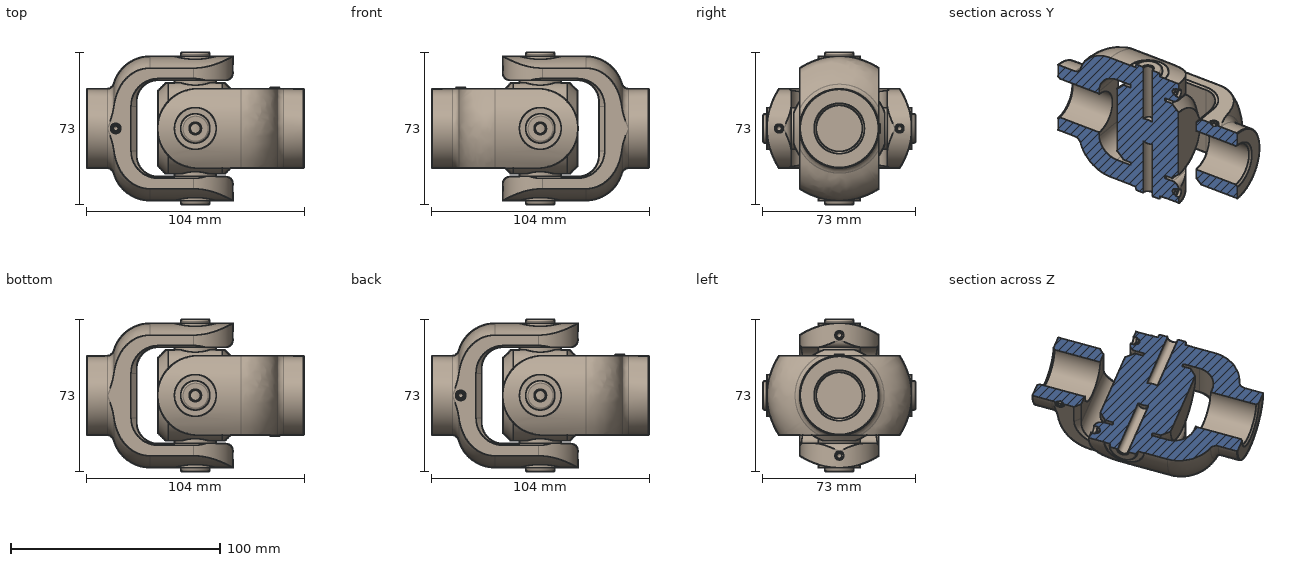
import cadquery as cq
import math


half_length = 52.0
width = 38.0
hub_radius = width / 2
arm_outer_radius = 34.5
shoulder_radius = 18.0
shoulder_x = 21.7
neck_x = 42.1
hub_chamfer = 0.3
bore_diameter = 22.0
bore_chamfer = 1.0
arm_end_offset = 0.9
arm_tip_x = hub_radius - arm_end_offset

opening_half_width = 23.0
opening_floor_x = 28.0
opening_corner_radius = 10.0
rim_half_width = 23.9
rim_floor_x = 30.8
rim_corner_radius = 13.3
arm_tip_round = 3.6

boss_diameter = 20.0
boss_face = 34.6
head_diameter = 14.0
head_face = 36.5
head_round = 1.0
pin_hole_diameter = 5.0
pin_hole_chamfer = 0.47

block_radius = 23.0
block_half_width = 21.7
block_half_length = 17.9
block_chamfer = 5.0

hub_screw_diameter = 4.9
hub_screw_height = 0.6
hub_screw_taper = 30.0
hub_screw_x = 38.1
arm_screw_diameter = 4.2
arm_screw_recess = 1.9
arm_screw_offset = 28.8
socket_corner_diameter = 2.9
socket_depth = 1.2
socket_tip_depth = 0.7


def cylinder(diameter, start, end, axis_plane):
    """Round bar along the normal of axis_plane, from start to end."""
    return cq.Workplane(axis_plane).workplane(offset=start).circle(diameter / 2).extrude(end - start)


def yoke_blank():
    """Revolved hub, neck and arm envelope with its hub towards -X, trimmed to the slab outline."""
    centre_radius = arm_outer_radius - shoulder_radius
    run = neck_x - shoulder_x
    drop = hub_radius - centre_radius
    neck_fillet = (run**2 + drop**2 - shoulder_radius**2) / (2 * (shoulder_radius - drop))
    neck_angle = math.atan2(drop + neck_fillet, run)

    def shoulder_point(angle):
        return (
            -shoulder_x - shoulder_radius * math.cos(angle),
            centre_radius + shoulder_radius * math.sin(angle),
        )

    fillet_mid_angle = (math.pi / 2 + neck_angle) / 2
    fillet_mid = (
        -neck_x + neck_fillet * math.cos(fillet_mid_angle),
        hub_radius + neck_fillet - neck_fillet * math.sin(fillet_mid_angle),
    )
    envelope = (
        cq.Workplane("XY")
        .moveTo(-half_length, 0)
        .lineTo(-half_length, hub_radius - hub_chamfer)
        .lineTo(-half_length + hub_chamfer, hub_radius)
        .lineTo(-neck_x, hub_radius)
        .threePointArc(fillet_mid, shoulder_point(neck_angle))
        .threePointArc(shoulder_point((neck_angle + math.pi / 2) / 2), shoulder_point(math.pi / 2))
        .lineTo(arm_tip_x, arm_outer_radius)
        .lineTo(arm_tip_x, 0)
        .close()
        .revolve(360, (0, 0, 0), (1, 0, 0))
    )
    outline = (
        cq.Workplane("XZ", origin=(0, arm_outer_radius, 0))
        .moveTo(-half_length, -hub_radius)
        .lineTo(-arm_end_offset, -hub_radius)
        .threePointArc((arm_tip_x, 0), (-arm_end_offset, hub_radius))
        .lineTo(-half_length, hub_radius)
        .close()
        .extrude(2 * arm_outer_radius)
    )
    return envelope.intersect(outline)


def u_outline(plane, half_width, floor_depth, radius):
    """U-shaped outline, open past the arm tips, with the floor towards -X."""
    floor_x = -floor_depth
    diagonal = radius * (1 - math.sqrt(0.5))
    return (
        plane.moveTo(half_length, half_width)
        .lineTo(floor_x + radius, half_width)
        .threePointArc((floor_x + diagonal, half_width - diagonal), (floor_x, half_width - radius))
        .lineTo(floor_x, radius - half_width)
        .threePointArc((floor_x + diagonal, diagonal - half_width), (floor_x + radius, -half_width))
        .lineTo(half_length, -half_width)
        .close()
    )


def opening():
    """Cutter for the space between the arms, bevelled at both rims and rounded at the arm tips."""
    cutter = u_outline(
        cq.Workplane("XY"), opening_half_width, opening_floor_x, opening_corner_radius
    ).extrude(hub_radius, both=True)

    shrink = 2 * (rim_floor_x - opening_floor_x)
    rim = u_outline(
        cq.Workplane("XY", origin=(0, 0, hub_radius)), rim_half_width, rim_floor_x, rim_corner_radius
    )
    rim = u_outline(
        rim.workplane(offset=-shrink),
        rim_half_width - shrink,
        rim_floor_x - shrink,
        rim_corner_radius - shrink,
    ).loft(ruled=True)
    cutter = cutter.union(rim).union(rim.mirror("XY"))

    round_start_x = arm_tip_x - arm_tip_round
    tip_y = opening_half_width + arm_tip_round
    diagonal = arm_tip_round * math.sqrt(0.5)
    tip_round = (
        cq.Workplane("XY")
        .moveTo(round_start_x, opening_half_width)
        .threePointArc((round_start_x + diagonal, tip_y - diagonal), (arm_tip_x, tip_y))
        .lineTo(half_length, tip_y)
        .lineTo(half_length, opening_half_width)
        .close()
        .extrude(hub_radius, both=True)
    )
    return cutter.union(tip_round).union(tip_round.mirror("XZ"))


def hub_bore():
    """Bore from the hub end into the opening, with a chamfered mouth."""
    mouth_radius = bore_diameter / 2 + bore_chamfer
    mouth = cq.Solid.makeCone(
        mouth_radius, bore_diameter / 2, bore_chamfer, cq.Vector(-half_length, 0, 0), cq.Vector(1, 0, 0)
    )
    return cylinder(bore_diameter, -half_length, 0, "YZ").union(cq.Workplane(mouth))


def screw_socket(plane):
    """Hexagonal socket with a conical bottom, sunk below the given face plane."""
    hexagon = plane.polygon(6, socket_corner_diameter).extrude(-socket_depth)
    tip_radius = socket_corner_diameter / 2 * math.cos(math.pi / 6)
    tip = cq.Solid.makeCone(
        tip_radius,
        0,
        socket_tip_depth,
        plane.plane.toWorldCoords((0, 0, -socket_depth)),
        plane.plane.zDir * -1,
    )
    return hexagon.union(cq.Workplane(tip))


def add_hub_screw(yoke):
    """Set screw with a tapered rim standing proud of the flat face near the hub."""
    base = cq.Workplane("XY", origin=(-hub_screw_x, 0, hub_radius))
    screw = base.circle(hub_screw_diameter / 2).extrude(hub_screw_height, taper=hub_screw_taper)
    return yoke.union(screw).cut(screw_socket(base.workplane(offset=hub_screw_height)))


def cut_arm_screws(yoke):
    """Recessed set screw in the rounded end of each arm, pointing at the pin."""
    face_x = arm_tip_x - arm_screw_recess
    for side in (-1, 1):
        face = cq.Workplane("YZ", origin=(face_x, side * arm_screw_offset, 0))
        recess = face.circle(arm_screw_diameter / 2).extrude(2 * arm_screw_recess)
        yoke = yoke.cut(recess).cut(screw_socket(face))
    return yoke


def make_yoke():
    """Yoke with its hub towards -X and its arms on the Y axis."""
    yoke = yoke_blank().cut(opening()).cut(hub_bore())
    return cut_arm_screws(add_hub_screw(yoke))


def to_other_yoke(shape):
    """Half turn about the Y = Z diagonal: flips X and swaps Y with Z."""
    return shape.rotate((0, 0, 0), (0, 1, 1), 180)


def centre_block():
    """Short round block with coned ends and four flats for the pin bosses."""
    flats = cq.Workplane("YZ").rect(2 * block_half_width, 2 * block_half_width)
    return (
        cylinder(2 * block_radius, -block_half_length, block_half_length, "YZ")
        .faces("<X or >X")
        .chamfer(block_chamfer)
        .intersect(flats.extrude(block_half_length, both=True))
    )


def make_pin():
    """Pin along Y: bosses through both arms with a smaller rounded head at each end."""
    boss = cylinder(boss_diameter, -boss_face, boss_face, "XZ")
    head = cylinder(head_diameter, -head_face, head_face, "XZ").faces("<Y or >Y").fillet(head_round)
    return boss.union(head)


def pin_holes():
    """Chamfered holes in both ends of the Y pin, stopping at the round core of the crossing Z pin."""
    holes = cylinder(pin_hole_diameter, -head_face, head_face, "XZ")
    mouth_radius = pin_hole_diameter / 2 + pin_hole_chamfer
    for side in (-1, 1):
        mouth = cq.Solid.makeCone(
            mouth_radius,
            pin_hole_diameter / 2,
            pin_hole_chamfer,
            cq.Vector(0, side * head_face, 0),
            cq.Vector(0, -side, 0),
        )
        holes = holes.union(cq.Workplane(mouth))
    return holes.cut(cylinder(head_diameter, -head_face, head_face, "XY"))


yoke = make_yoke()
pin = make_pin()
holes = pin_holes()
result = (
    centre_block()
    .union(pin)
    .union(to_other_yoke(pin))
    .union(yoke)
    .union(to_other_yoke(yoke))
    .cut(holes)
    .cut(to_other_yoke(holes))
)